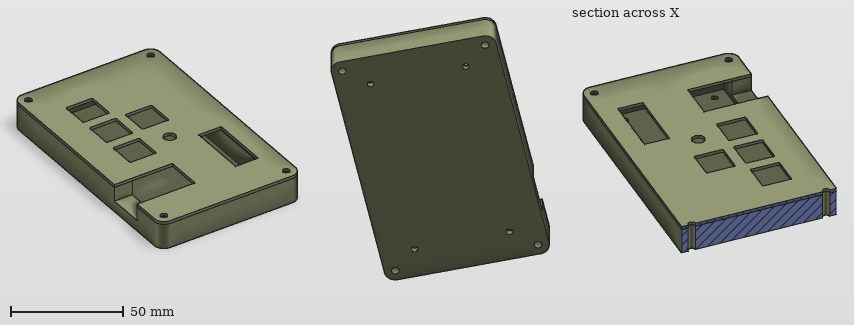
import cadquery as cq

length = 120.01
width = 75.02
height = 14.48
corner_radius = 5.0

plate_thickness = 1.5
case_height = height - plate_thickness

screw_hole_diameter = 3.4
screw_points = [
    (side_x * (length / 2 - corner_radius), side_y * (width / 2 - corner_radius))
    for side_x in (-1, 1)
    for side_y in (-1, 1)
]

floor_thickness = 3.0
side_wall = 10.0
front_wall = 9.5
back_wall = 10.3
cavity_length = length - 2 * side_wall
cavity_width = width - front_wall - back_wall
cavity_center_y = (front_wall - back_wall) / 2

mount_hole_diameter = 2.9
mount_spacing_x = 91.0
mount_spacing_y = 43.4

port_width = 18.5
port_center_x = 31.7
port_back_y = -6.7
port_sill_height = 5.6

key_size = 14.0
key_corner_radius = 0.5
key_pitch = 19.05
middle_key_x = -14.5
key_row_y = -15.0
upper_key_y = key_row_y + key_pitch
key_points = [(middle_key_x + column * key_pitch, key_row_y) for column in (-1, 0, 1)]
key_points.append((middle_key_x, upper_key_y))

display_length = 30.0
display_width = 12.0
display_center = (24.8, 21.6)

round_window_diameter = 6.0
round_window_center = (4.0, upper_key_y)


def rounded_slab(thickness, bottom_z):
    """Block with the shared outline and screw holes."""
    return (
        cq.Workplane("XY", origin=(0, 0, bottom_z))
        .rect(length, width)
        .extrude(thickness)
        .edges("|Z")
        .fillet(corner_radius)
        .faces(">Z")
        .workplane()
        .pushPoints(screw_points)
        .circle(screw_hole_diameter / 2)
        .cutThruAll()
    )


def port_cutter(back_y, bottom_z):
    """Block that removes the port from the front edge back to back_y, above bottom_z."""
    front_y = -width / 2
    return (
        cq.Workplane("XY", origin=(port_center_x, front_y, bottom_z))
        .box(port_width, back_y - front_y, height - bottom_z, centered=(True, False, False))
    )


def make_case():
    """Open-topped tray with a port through its front wall."""
    cavity = (
        cq.Workplane("XY", origin=(0, cavity_center_y, floor_thickness))
        .rect(cavity_length, cavity_width)
        .extrude(case_height - floor_thickness)
    )
    mount_holes = (
        cq.Workplane("XY")
        .rect(mount_spacing_x, mount_spacing_y, forConstruction=True)
        .vertices()
        .circle(mount_hole_diameter / 2)
        .extrude(floor_thickness)
    )
    port = port_cutter(front_wall - width / 2, port_sill_height)
    return rounded_slab(case_height, 0).cut(cavity).cut(mount_holes).cut(port)


def make_plate():
    """Flat cover with key, display, round and port openings."""
    sheet = cq.Workplane("XY", origin=(0, 0, case_height))
    keys = (
        sheet.pushPoints(key_points)
        .rect(key_size, key_size)
        .extrude(plate_thickness)
        .edges("|Z")
        .fillet(key_corner_radius)
    )
    display = sheet.center(*display_center).rect(display_length, display_width).extrude(plate_thickness)
    round_window = (
        sheet.center(*round_window_center).circle(round_window_diameter / 2).extrude(plate_thickness)
    )
    port = port_cutter(port_back_y, case_height)
    plate = rounded_slab(plate_thickness, case_height)
    return plate.cut(keys).cut(display).cut(round_window).cut(port)


case = make_case()
plate = make_plate()
result = cq.Compound.makeCompound([case.val(), plate.val()])